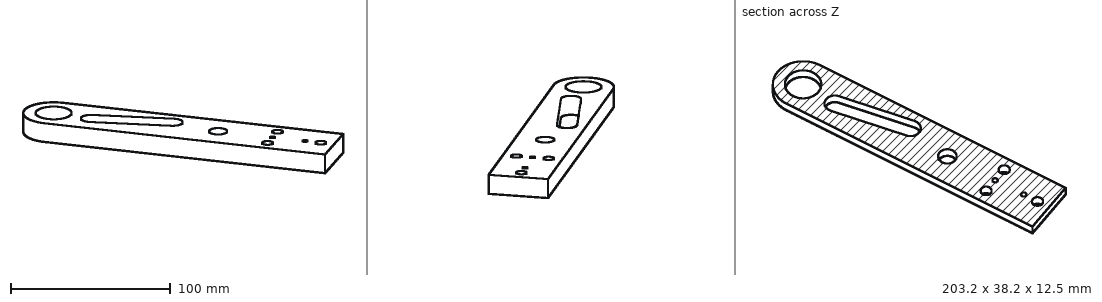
import cadquery as cq

length = 203.2
width = 38.2
thickness = 12.5
end_radius = width / 2
square_end_x = length - end_radius

eye_diameter = 22.5
pivot_diameter = 11.4
pivot_x = 108.0

bolt_diameter = 6.7
bolt_pair_x = 143.7
bolt_pair_spacing = 20.7
single_bolt_x = 175.4
dowel_diameter = 3.0
outer_dowel_x = 165.0

slot_width = 12.5
slot_center_x = 50.5
slot_center_y = 2.2
slot_center_distance = 51.6
slot_angle = 10.0


def make_bar():
    return (
        cq.Workplane("XY")
        .moveTo(0, -end_radius)
        .lineTo(square_end_x, -end_radius)
        .lineTo(square_end_x, end_radius)
        .lineTo(0, end_radius)
        .threePointArc((-end_radius, 0), (0, -end_radius))
        .close()
        .extrude(thickness)
    )


def drill_through(body, diameter, points):
    return body.faces(">Z").workplane(origin=(0, 0, thickness)).pushPoints(points).hole(diameter)


def cut_tilted_slot(body):
    slot = (
        cq.Workplane("XY")
        .center(slot_center_x, slot_center_y)
        .slot2D(slot_center_distance + slot_width, slot_width, slot_angle)
        .extrude(thickness)
    )
    return body.cut(slot)


bolt_points = [
    (bolt_pair_x, bolt_pair_spacing / 2),
    (bolt_pair_x, -bolt_pair_spacing / 2),
    (single_bolt_x, 0),
]
dowel_points = [(bolt_pair_x, 0), (outer_dowel_x, 0)]

result = make_bar()
result = drill_through(result, eye_diameter, [(0, 0)])
result = drill_through(result, pivot_diameter, [(pivot_x, 0)])
result = drill_through(result, bolt_diameter, bolt_points)
result = drill_through(result, dowel_diameter, dowel_points)
result = cut_tilted_slot(result)